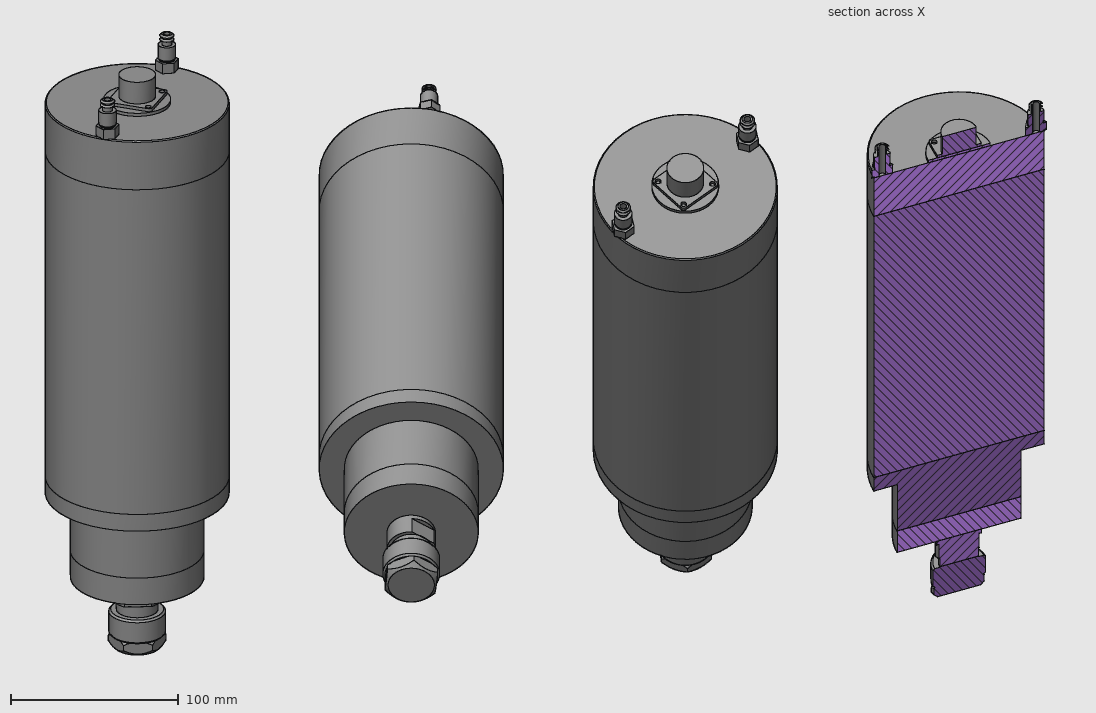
import cadquery as cq
import math


barrel_diameter = 110.0
rear_cap_height = 32.0
rear_cap_chamfer = 0.7
housing_height = 214.0
flange_thickness = 11.0

nose_diameter = 80.0
nose_height = 38.0
front_cap_height = 17.5

shaft_diameter = 29.0
shaft_height = 14.5
shaft_across_flats = 24.0
shaft_collar_height = 3.0
neck_diameter = 25.0
neck_height = 7.0
spindle_turn = 23.0

nut_diameter = 34.0
nut_height = 24.0
nut_edge_chamfer = 1.2
nut_round_height = 15.6
nut_groove_radius = nut_diameter / 2 - nut_edge_chamfer
nut_across_flats = 30.0
nut_bottom_chamfer = 3.5

disc_diameter = 40.0
disc_thickness = 2.0
plate_side = 28.5
plate_thickness = 2.0
plate_corner_radius = 2.0
screw_hole_spacing = 23.0
screw_hole_diameter = 3.4
plug_diameter = 22.0
plug_top = 18.2

fitting_offset = 49.5
fitting_across_flats = 12.0
fitting_hex_height = 6.5
fitting_body_diameter = 10.5
fitting_body_top = 16.5
fitting_groove_diameter = 9.5
fitting_groove_height = 1.0
stem_diameter = 6.0
barb_diameter = 8.6
barb_tip_diameter = 6.2
barb_height = 1.1
barb_pitch = 2.6
fitting_top = 23.5
barb_count = 2
fitting_bore_diameter = 4.0

housing_top = -rear_cap_height
flange_top = housing_top - housing_height
nose_top = flange_top - flange_thickness
front_cap_top = nose_top - nose_height
shaft_top = front_cap_top - front_cap_height
neck_top = shaft_top - shaft_height
nut_top = neck_top - neck_height
nut_bottom = nut_top - nut_height


def cylinder(diameter, bottom, top):
    return cq.Workplane("XY").workplane(offset=bottom).circle(diameter / 2).extrude(top - bottom)


def hexagon(across_flats, bottom, top):
    across_corners = across_flats / math.cos(math.radians(30))
    return cq.Workplane("XY").workplane(offset=bottom).polygon(6, across_corners).extrude(top - bottom)


def turned(profile):
    """Revolve a closed (radius, height) outline about the Z axis."""
    return cq.Workplane("XZ").polyline(profile).close().revolve(360, (0, 0), (0, 1))


def turn_about_axis(body, angle):
    return body.rotate((0, 0, 0), (0, 0, 1), angle)


def make_rear_cap():
    cap = cylinder(barrel_diameter, housing_top, 0)
    return cap.faces(">Z").chamfer(rear_cap_chamfer)


def make_housing():
    return cylinder(barrel_diameter, flange_top, housing_top)


def make_front_flange():
    flange = cylinder(barrel_diameter, nose_top, flange_top)
    return flange.union(cylinder(nose_diameter, front_cap_top, nose_top))


def make_front_cap():
    return cylinder(nose_diameter, shaft_top, front_cap_top)


def make_shaft():
    flats_height = shaft_height - shaft_collar_height
    shaft = cylinder(shaft_diameter, neck_top, shaft_top)
    flats_zone = cylinder(shaft_diameter, neck_top, neck_top + flats_height)
    between_flats = (
        cq.Workplane("XY").workplane(offset=neck_top)
        .rect(shaft_diameter, shaft_across_flats).extrude(flats_height)
    )
    shaft = shaft.cut(flats_zone.cut(between_flats))
    shaft = shaft.union(cylinder(neck_diameter, nut_top, neck_top))
    return turn_about_axis(shaft, spindle_turn)


def make_collet_nut():
    hex_top = nut_top - nut_round_height
    corner_radius = nut_across_flats / 2 / math.cos(math.radians(30))
    round_part = cylinder(nut_diameter, hex_top, nut_top).edges("%CIRCLE").chamfer(nut_edge_chamfer)
    trim = turned([
        (0, hex_top),
        (nut_groove_radius, hex_top),
        (corner_radius, hex_top - (corner_radius - nut_groove_radius)),
        (corner_radius, nut_bottom + nut_bottom_chamfer),
        (corner_radius - nut_bottom_chamfer, nut_bottom),
        (0, nut_bottom),
    ])
    hex_part = hexagon(nut_across_flats, nut_bottom, hex_top).intersect(trim)
    return turn_about_axis(round_part.union(hex_part), spindle_turn)


def make_seal_disc():
    return cylinder(disc_diameter, 0, disc_thickness)


def make_connector():
    plate = (
        cq.Workplane("XY").workplane(offset=disc_thickness)
        .rect(plate_side, plate_side).extrude(plate_thickness)
        .edges("|Z").fillet(plate_corner_radius)
        .faces(">Z").workplane()
        .rect(screw_hole_spacing, screw_hole_spacing, forConstruction=True).vertices()
        .hole(screw_hole_diameter)
    )
    return plate.union(cylinder(plug_diameter, disc_thickness, plug_top))


def make_fitting(y):
    body_bottom = fitting_hex_height + fitting_groove_height
    fitting = turn_about_axis(hexagon(fitting_across_flats, 0, fitting_hex_height), 90)
    fitting = fitting.union(cylinder(fitting_groove_diameter, fitting_hex_height, body_bottom))
    fitting = fitting.union(cylinder(fitting_body_diameter, body_bottom, fitting_body_top))
    fitting = fitting.union(cylinder(stem_diameter, fitting_body_top, fitting_top))
    for index in range(barb_count):
        barb_top = fitting_top - index * barb_pitch
        barb = turned([
            (0, barb_top),
            (barb_tip_diameter / 2, barb_top),
            (barb_diameter / 2, barb_top - barb_height),
            (0, barb_top - barb_height),
        ])
        fitting = fitting.union(barb)
    fitting = fitting.cut(cylinder(fitting_bore_diameter, 0, fitting_top))
    return fitting.translate((0, y, 0))


rear_cap = make_rear_cap()
housing = make_housing()
front_flange = make_front_flange()
front_cap = make_front_cap()
shaft = make_shaft()
collet_nut = make_collet_nut()
seal_disc = make_seal_disc()
connector = make_connector()
fittings = [make_fitting(side * fitting_offset) for side in (-1, 1)]

result = cq.Compound.makeCompound([
    rear_cap.val(),
    housing.val(),
    front_flange.val(),
    front_cap.val(),
    shaft.val(),
    collet_nut.val(),
    seal_disc.val(),
    connector.val(),
    *[fitting.val() for fitting in fittings],
])